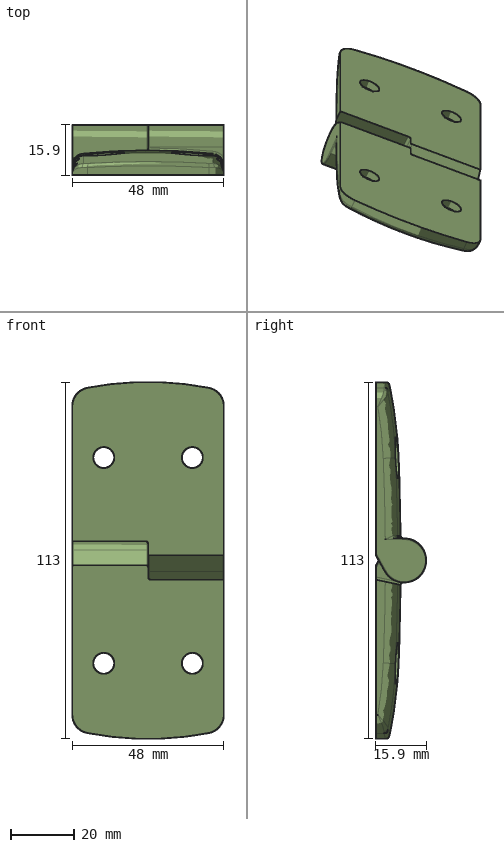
import cadquery as cq
import math


width = 48.0
half_width = width / 2
height = 113.0
half_height = height / 2
tip_arc_radius = 100.0
corner_radius = 6.0

leaf_thickness = 7.9
crown_radius = 200.0
main_arc_radius = 791.0
tip_taper_radius = 135.6
side_fillet = 4.0
tip_fillet = 1.4

barrel_radius = 7.0
barrel_axis_y = 8.9
barrel_edge_fillet = 0.3
barrel_root_fillet = 0.8
flat_foot_z = 1.6

clearance_end_z = 6.1
clearance_slope = 0.21
clearance_fillet = 0.9
root_z = 4.5

hole_x = 14.0
hole_z = 32.5
hole_diameter = 6.5
head_diameter = 13.0
countersink_start_y = 2.6

cut_depth = 2 * leaf_thickness
slab_top_z = half_height + 2.3
slab_front_y = -leaf_thickness

pick_margin = 1.1
pick_tolerance = 0.1


def arc_point(centre, radius, angle):
    """Point of a circle, with the angle measured from the first axis."""
    return (centre[0] + radius * math.cos(angle), centre[1] + radius * math.sin(angle))


def domed_slab():
    """Slab whose back is crowned across the width, falls to the tip and has rounded sides."""
    main_centre = (leaf_thickness - main_arc_radius, 0)
    joint_angle = math.asin(hole_z / main_arc_radius)
    joint = arc_point(main_centre, main_arc_radius, joint_angle)
    taper_centre = arc_point(main_centre, main_arc_radius - tip_taper_radius, joint_angle)
    top_angle = math.asin((slab_top_z - taper_centre[1]) / tip_taper_radius)
    taper_middle = arc_point(taper_centre, tip_taper_radius, (joint_angle + top_angle) / 2)
    taper_top = arc_point(taper_centre, tip_taper_radius, top_angle)

    crown_axis_y = leaf_thickness - crown_radius
    dome = (
        cq.Workplane("YZ")
        .moveTo(crown_axis_y, 0)
        .lineTo(leaf_thickness, 0)
        .threePointArc(arc_point(main_centre, main_arc_radius, joint_angle / 2), joint)
        .threePointArc(taper_middle, taper_top)
        .lineTo(crown_axis_y, slab_top_z)
        .close()
        .revolve(360, (crown_axis_y, 0, 0), (crown_axis_y, 1, 0))
    )
    block = cq.Workplane("XY", origin=(0, slab_front_y, 0)).box(
        width, cut_depth + leaf_thickness, slab_top_z, centered=(True, False, False)
    )
    back_edges = cq.selectors.BoxSelector(
        (-half_width - pick_margin, 0, pick_margin),
        (half_width + pick_margin, cut_depth, slab_top_z - pick_margin),
    )
    slab = block.intersect(dome)
    return slab.edges(back_edges).edges("<X or >X").fillet(side_fillet)


def leaf_outline():
    """Prism of the front outline: straight sides, rounded corners and an arched tip."""
    arc_centre_z = half_height - tip_arc_radius
    shoulder_z = arc_centre_z + math.sqrt(tip_arc_radius**2 - half_width**2)
    return (
        cq.Workplane("XZ")
        .moveTo(-half_width, 0)
        .lineTo(-half_width, shoulder_z)
        .threePointArc((0, half_height), (half_width, shoulder_z))
        .lineTo(half_width, 0)
        .close()
        .extrude(-cut_depth)
        .edges("|Y")
        .edges(">Z")
        .fillet(corner_radius)
    )


def tip_edges():
    """Back edges of the arched tip and its two rounded corners."""
    lowest_z = half_height - corner_radius - pick_margin
    lowest_y = 2.0
    return cq.selectors.BoxSelector(
        (-half_width - pick_margin, lowest_y, lowest_z),
        (half_width + pick_margin, leaf_thickness, half_height + pick_margin),
    )


def clearance_cutter():
    """Block that trims the leaf to its sloping end face, clear of the other leaf's barrel."""
    return (
        cq.Workplane("YZ")
        .lineTo(0, clearance_end_z)
        .lineTo(cut_depth, clearance_end_z + clearance_slope * cut_depth)
        .lineTo(cut_depth, 0)
        .close()
        .extrude(-half_width)
    )


def root_cutter():
    """Block that ends the barrel side of the plate inside its barrel."""
    return cq.Workplane("XY").box(half_width, cut_depth, root_z, centered=False)


def barrel():
    """Half-width barrel with a flat that runs from its tangent line to the front face."""
    axis_to_foot = math.hypot(barrel_axis_y, flat_foot_z)
    flat_length = math.sqrt(axis_to_foot**2 - barrel_radius**2)
    flat_angle = math.atan2(flat_foot_z, barrel_axis_y) + math.asin(barrel_radius / axis_to_foot)
    tangent_y = flat_length * math.cos(flat_angle)
    tangent_z = flat_foot_z - flat_length * math.sin(flat_angle)
    return (
        cq.Workplane("YZ")
        .moveTo(0, flat_foot_z)
        .lineTo(tangent_y, tangent_z)
        .threePointArc((barrel_axis_y + barrel_radius, 0), (barrel_axis_y, barrel_radius))
        .lineTo(0, barrel_radius)
        .close()
        .extrude(half_width)
        .faces("<X or >X")
        .edges("not <Y")
        .fillet(barrel_edge_fillet)
    )


def clearance_corner():
    """Inner edge between the sloping end face and the end of the leaf's own barrel."""
    end_face_top_z = clearance_end_z + clearance_slope * leaf_thickness
    return cq.selectors.BoxSelector(
        (-pick_tolerance, pick_margin, clearance_end_z),
        (pick_tolerance, leaf_thickness - pick_margin, end_face_top_z),
    )


def barrel_root():
    """Edges where the domed back meets the top of the barrel."""
    return cq.selectors.BoxSelector(
        (barrel_edge_fillet, side_fillet, barrel_radius - pick_tolerance),
        (half_width - barrel_edge_fillet, leaf_thickness + pick_tolerance, barrel_radius + pick_tolerance),
    )


def screw_hole_cutter(x):
    """Through hole with a 45 degree countersink and a head recess open to the back."""
    hole_radius = hole_diameter / 2
    head_radius = head_diameter / 2
    cone_end_y = countersink_start_y + head_radius - hole_radius
    return (
        cq.Workplane("XY", origin=(x, 0, hole_z))
        .lineTo(hole_radius, 0)
        .lineTo(hole_radius, countersink_start_y)
        .lineTo(head_radius, cone_end_y)
        .lineTo(head_radius, cut_depth)
        .lineTo(0, cut_depth)
        .close()
        .revolve(360, (0, 0, 0), (0, 1, 0))
    )


def hinge_leaf():
    """Upper leaf: plate on both sides of x = 0, barrel on the +X side."""
    plate = domed_slab().intersect(leaf_outline())
    plate = plate.edges(tip_edges()).fillet(tip_fillet)
    plate = plate.cut(clearance_cutter()).cut(root_cutter())
    leaf = plate.union(barrel())
    leaf = leaf.edges(clearance_corner()).fillet(clearance_fillet)
    leaf = leaf.edges(barrel_root()).fillet(barrel_root_fillet)
    for x in (-hole_x, hole_x):
        leaf = leaf.cut(screw_hole_cutter(x))
    return leaf


leaves = [hinge_leaf().rotate((0, 0, 0), (0, 1, 0), turn) for turn in (0, 180)]

result = cq.Compound.makeCompound([leaf.val() for leaf in leaves])